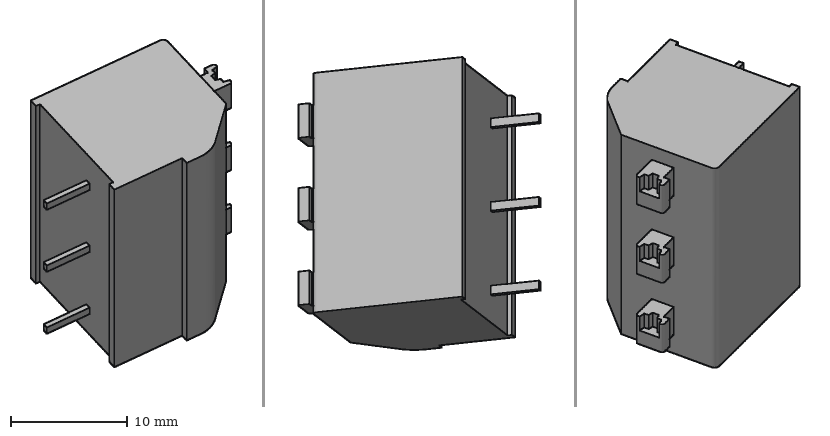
import cadquery as cq
import math


height = 21.5
housing_width = 13.75
housing_depth = 13.8
back_corner_radius = 0.5

slope_start_x = 9.59
nose_overhang = 0.7
nose_underside_y = 6.99
wall_x = housing_width - nose_overhang
slope_end_y = housing_depth - (wall_x - slope_start_x)

nose_radius = 3.0
nose_arc_center_x = housing_width - nose_radius
nose_arc_angle = math.acos((wall_x - nose_arc_center_x) / nose_radius)
nose_arc_end_y = slope_end_y - nose_radius * math.sin(nose_arc_angle)

foot_width = 0.82
foot_height = 0.4

pole_count = 3
pole_pitch = 7.5

pin_width = 0.5
pin_height = 0.77
pin_length = 4.0
pin_center_x = 8.32
first_pin_center_z = 2.9

button_left_x = 3.72
button_right_x = 6.5
button_height = 3.0
button_length = 2.69
button_corner_radius = 0.25
first_button_z = 2.0
lip_overhang = 0.58
lip_thickness = 1.08

recess_outer_half_width = 0.99
recess_shelf_half_width = 0.85
recess_inner_half_width = 0.43
recess_floor_half_width = 0.3
recess_shelf_depth = 0.58
recess_depth = 1.05
recess_height = button_height / 2


def make_housing():
    lower_outline = [
        (0, 0),
        (foot_width, 0),
        (foot_width, foot_height),
        (wall_x - foot_width, foot_height),
        (wall_x - foot_width, 0),
        (wall_x, 0),
        (wall_x, nose_underside_y),
        (housing_width, nose_underside_y),
        (housing_width, nose_arc_end_y),
    ]
    nose_arc_middle = (
        nose_arc_center_x + nose_radius * math.cos(nose_arc_angle / 2),
        nose_arc_end_y + nose_radius * math.sin(nose_arc_angle / 2),
    )
    housing = (
        cq.Workplane("XY")
        .polyline(lower_outline)
        .threePointArc(nose_arc_middle, (wall_x, slope_end_y))
        .lineTo(slope_start_x, housing_depth)
        .lineTo(0, housing_depth)
        .close()
        .extrude(height)
    )
    back_edge = cq.NearestToPointSelector((0, housing_depth, height / 2))
    return housing.edges(back_edge).fillet(back_corner_radius)


def make_pin(center_z):
    pin = cq.Workplane("XY").box(
        pin_width,
        pin_length + foot_height,
        pin_height,
        centered=(True, False, True),
    )
    return pin.translate((pin_center_x, -pin_length, center_z))


def make_button(bottom_z):
    end_y = housing_depth + button_length
    stem_x = button_left_x + lip_overhang
    lip_y = end_y - lip_thickness
    outline = [
        (stem_x, housing_depth),
        (button_right_x, housing_depth),
        (button_right_x, end_y),
        (button_left_x, end_y),
        (button_left_x, lip_y),
        (stem_x, lip_y),
    ]
    button = cq.Workplane("XY").polyline(outline).close().extrude(button_height)
    button = button.faces(">Y").edges("|Z").fillet(button_corner_radius)

    center_x = (button_left_x + button_right_x) / 2
    right_side = [
        (recess_floor_half_width, recess_depth),
        (recess_inner_half_width, recess_shelf_depth),
        (recess_shelf_half_width, recess_shelf_depth),
        (recess_outer_half_width, 0),
    ]
    right_points = [(center_x + x, end_y - depth) for x, depth in right_side]
    left_points = [(center_x - x, end_y - depth) for x, depth in reversed(right_side)]
    recess = (
        cq.Workplane("XY")
        .workplane(offset=button_height - recess_height)
        .polyline(right_points + left_points)
        .close()
        .extrude(recess_height)
    )
    return button.cut(recess).translate((0, 0, bottom_z))


result = make_housing()
for pole in range(pole_count):
    pole_z = pole * pole_pitch
    result = result.union(make_pin(first_pin_center_z + pole_z))
    result = result.union(make_button(first_button_z + pole_z))